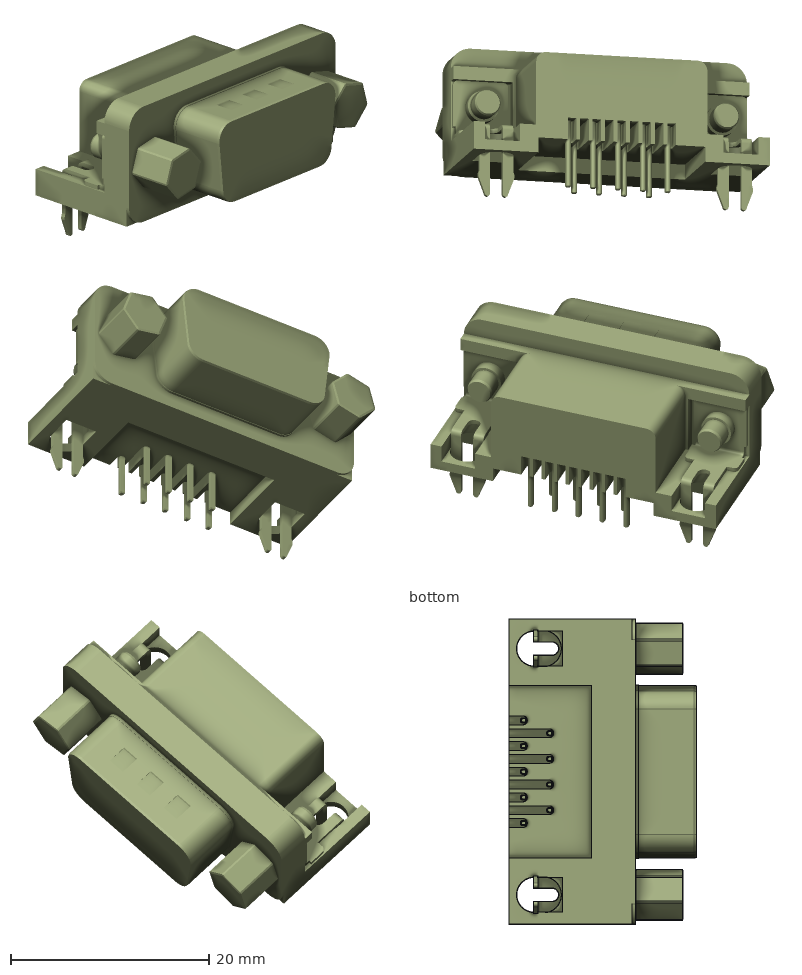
import cadquery as cq
import math

width = 30.8
height = 12.55
length = 18.95
total_height = 16.75
mid_z = height / 2

body_depth = 8.35
wall_front = 9.4
flange_front = 12.45
body_top = 10.4
block_half_width = 8.9
block_edge_radius = 1.02
shelf_top = 2.85
corner_radius = 2.05

pocket_inner_y = 9.2
pocket_top = 9.05

plate_front = 12.78
shell_width = 17.4
shell_bottom = 1.8
shell_top = 10.75
shell_radius = 1.82
shell_slant = 6.0
shell_tip_length = 0.25
shell_tip_depth = 0.05
shell_root_length = 0.28
shell_root_step = 0.05
dimple_length = 2.03
dimple_width = 1.82
dimple_start = 14.9
dimple_pitch = 3.8
dimple_depth = 0.1

contact_count = 9
contact_pitch = 1.3
contact_width = 0.52
contact_length = 0.62
contact_bottom = -3.08
contact_embed = 0.45
contact_tip_chamfer = 0.1
near_row_x = 1.42
far_row_x = 4.07
slot_width = 0.9
slot_top = 3.75
underside_height = 1.55
underside_half_width = 8.7

ear_y = 12.4
channel_width = 3.63
channel_floor = 1.05
hole_diameter = 3.5
hole_start_x = 2.55
hole_end_x = 3.48

strip = 0.45
bracket_width = 5.73
bracket_neck_width = 5.17
bracket_neck_top = 4.28
bracket_corner_radius = 0.45
leg_x = 2.45
foot_wide_x = 6.28
leg_bend_radius = 0.6
upright_bend_radius = 0.77
prong_width = 3.5
barb_width = 3.75
prong_gap = 1.32
prong_gap_end_x = 5.02
relief_end_x = 5.4
prong_bottom = height - total_height
prong_tip_width = 0.55
barb_start_z = -1.6
barb_top_z = -1.97
barb_bottom_z = -2.22

boss_diameter = 3.2
boss_start_x = 7.85
stud_diameter = 2.65
stud_start_x = 5.82
stud_tip_diameter = 2.4
stud_tip_length = 0.25
nut_end_x = 17.55
nut_diameter = 5.25
nut_corner_diameter = 5.35
nut_chamfer_length = 0.22
nut_chamfer_depth = 0.05
nut_turns = {1: -14.0, -1: 11.0}


def box(x0, x1, y0, y1, z0, z1):
    return cq.Workplane("XY").box(x1 - x0, y1 - y0, z1 - z0, centered=False).translate((x0, y0, z0))


def centred_box(x0, x1, full_width, z0, z1):
    return box(x0, x1, -full_width / 2, full_width / 2, z0, z1)


def rod(x0, x1, diameter):
    """Cylinder along X on the line y = 0, z = mid_z."""
    return cq.Workplane("YZ", origin=(x0, 0, mid_z)).circle(diameter / 2).extrude(x1 - x0)


def slot_along_x(x0, x1, slot_size, z0, z1):
    """Bar from x0 with a half-round end centred at x1."""
    bar = centred_box(x0, x1, slot_size, z0, z1)
    end = cq.Workplane("XY", origin=(x1, 0, z0)).circle(slot_size / 2).extrude(z1 - z0)
    return bar.union(end)


def contact_positions():
    """(x, y) of each contact, alternating between the two rows."""
    for i in range(contact_count):
        y = (i - (contact_count - 1) / 2) * contact_pitch
        yield (near_row_x if i % 2 == 0 else far_row_x), y


def make_housing():
    flange = centred_box(wall_front, flange_front, width, 0, height)
    flange = flange.edges("|X and >Z").fillet(corner_radius)
    wall = centred_box(body_depth, wall_front, width, 0, body_top)
    shelves = centred_box(0, body_depth, width, 0, shelf_top)
    block = centred_box(0, body_depth, 2 * block_half_width, 0, body_top)
    block = block.edges("|X and >Z").fillet(block_edge_radius)
    housing = flange.union(wall).union(shelves).union(block)

    housing = housing.cut(centred_box(0, body_depth, 2 * underside_half_width, 0, underside_height))
    for x, y in contact_positions():
        slot = slot_along_x(0, x, slot_width, underside_height, slot_top)
        housing = housing.cut(slot.translate((0, y, 0)))

    channel = slot_along_x(0, hole_end_x, channel_width, channel_floor, shelf_top)
    hole = slot_along_x(hole_start_x, hole_end_x, hole_diameter, 0, shelf_top)
    hole = hole.union(
        cq.Workplane("XY", origin=(hole_start_x, 0, 0)).circle(hole_diameter / 2).extrude(shelf_top)
    )
    relief = centred_box(hole_end_x, relief_end_x, hole_diameter, 0, underside_height)
    ear_cut = channel.union(hole).union(relief)
    for side in (1, -1):
        inner, outer = sorted((side * pocket_inner_y, side * width / 2))
        housing = housing.cut(box(body_depth, wall_front, inner, outer, shelf_top, pocket_top))
        housing = housing.cut(ear_cut.translate((0, side * ear_y, 0)))
    return housing


def make_face_plate():
    plate = centred_box(flange_front, plate_front, width, 0, height)
    return plate.edges("|X").fillet(corner_radius)


def shell_prism(x0, x1, offset):
    """D-shaped prism, wider at the top, grown outward by offset."""
    slant = math.radians(shell_slant)
    radius = shell_radius + offset
    top = shell_top + offset
    bottom = shell_bottom - offset
    arc_centre_y = shell_width / 2 - shell_radius
    top_half = arc_centre_y + radius * (1 + math.sin(slant)) / math.cos(slant)
    bottom_half = top_half - (top - bottom) * math.tan(slant)
    corners = [(-bottom_half, bottom), (bottom_half, bottom), (top_half, top), (-top_half, top)]
    prism = cq.Workplane("YZ", origin=(x0, 0, 0)).polyline(corners).close().extrude(x1 - x0)
    return prism.edges("|X").fillet(radius)


def make_shell():
    shell = shell_prism(plate_front, length, 0).faces(">X").chamfer(shell_tip_length, shell_tip_depth)
    shell = shell.union(shell_prism(plate_front, plate_front + shell_root_length, shell_root_step))
    dimple = (
        cq.Workplane("XZ", origin=(dimple_start, dimple_width / 2, shell_top))
        .polyline([(0, 0), (dimple_depth, -dimple_depth), (dimple_length, 0)])
        .close()
        .extrude(dimple_width)
    )
    for i in (-1, 0, 1):
        shell = shell.cut(dimple.translate((0, i * dimple_pitch, 0)))
    return shell


def make_contacts():
    radius = contact_width / 2
    flat_x = contact_length - radius
    wire = (
        cq.Workplane("XY", origin=(0, 0, contact_bottom))
        .moveTo(flat_x, -radius)
        .lineTo(flat_x, radius)
        .lineTo(0, radius)
        .threePointArc((-radius, 0), (0, -radius))
        .close()
        .extrude(slot_top + contact_embed - contact_bottom)
        .faces("<Z")
        .chamfer(contact_tip_chamfer)
    )
    contacts = cq.Workplane("XY")
    for x, y in contact_positions():
        contacts = contacts.union(wire.translate((x, y, 0)))
    return contacts


def make_prongs():
    """Pair of barbed board-lock prongs hanging below the foot."""
    inner = prong_gap / 2
    outer = prong_width / 2
    tip_radius = prong_tip_width / 2
    bend_z = shelf_top + strip - leg_bend_radius
    tip_z = prong_bottom + tip_radius
    prong = (
        cq.Workplane("YZ", origin=(leg_x, 0, 0))
        .moveTo(inner, bend_z)
        .lineTo(outer, bend_z)
        .lineTo(outer, barb_start_z)
        .lineTo(barb_width / 2, barb_top_z)
        .lineTo(barb_width / 2, barb_bottom_z)
        .lineTo(inner + prong_tip_width, tip_z)
        .threePointArc((inner + tip_radius, prong_bottom), (inner, tip_z))
        .close()
        .extrude(strip)
    )
    return prong.union(prong.mirror("XZ"))


def make_bracket():
    """Bent strip centred on y = 0: prongs, foot and upright."""
    foot_top = shelf_top + strip
    upright_x = wall_front - strip

    upright = centred_box(upright_x, wall_front, bracket_width, bracket_neck_top, pocket_top)
    upright = upright.edges("|X and >Z").fillet(bracket_corner_radius)

    neck = centred_box(body_depth, wall_front, bracket_neck_width, shelf_top, bracket_neck_top)
    neck = neck.edges("|Y and >X and <Z").fillet(upright_bend_radius)
    neck_void = centred_box(0, upright_x, width, foot_top, height)
    neck_void = neck_void.edges("|Y and >X and <Z").fillet(upright_bend_radius - strip)
    neck = neck.cut(neck_void)

    wide_foot = centred_box(foot_wide_x, body_depth, bracket_width, shelf_top, foot_top)
    wide_foot = wide_foot.edges("|Z and <X").fillet(bracket_corner_radius)

    foot = centred_box(leg_x, foot_wide_x, prong_width, 0, foot_top)
    foot = foot.edges("|Y and <X and >Z").fillet(leg_bend_radius)
    foot_void = centred_box(leg_x + strip, foot_wide_x, prong_width, 0, shelf_top)
    foot_void = foot_void.edges("|Y and <X and >Z").fillet(leg_bend_radius - strip)
    foot = foot.cut(foot_void)
    foot = foot.cut(slot_along_x(leg_x, prong_gap_end_x - prong_gap / 2, prong_gap, 0, foot_top))

    return upright.union(neck).union(wide_foot).union(foot).union(make_prongs())


def make_stud():
    tip = (
        cq.Workplane("YZ", origin=(stud_start_x, 0, mid_z))
        .circle(stud_tip_diameter / 2)
        .workplane(offset=stud_tip_length)
        .circle(stud_diameter / 2)
        .loft()
    )
    shank = rod(stud_start_x + stud_tip_length, boss_start_x, stud_diameter)
    boss = rod(boss_start_x, wall_front, boss_diameter)
    return tip.union(shank).union(boss)


def make_nut(turn):
    nut_length = nut_end_x - plate_front
    hexagon = (
        cq.Workplane("YZ", origin=(plate_front, 0, 0))
        .polygon(6, nut_corner_diameter)
        .extrude(nut_length)
        .faces("<X or >X")
        .chamfer(nut_chamfer_depth, nut_chamfer_length)
        .rotate((0, 0, 0), (1, 0, 0), turn)
        .translate((0, 0, mid_z))
    )
    return hexagon.intersect(rod(plate_front, nut_end_x, nut_diameter))


result = make_housing().union(make_face_plate()).union(make_shell()).union(make_contacts())
for side in (1, -1):
    ear = make_bracket().union(make_stud()).union(make_nut(nut_turns[side]))
    result = result.union(ear.translate((0, side * ear_y, 0)))